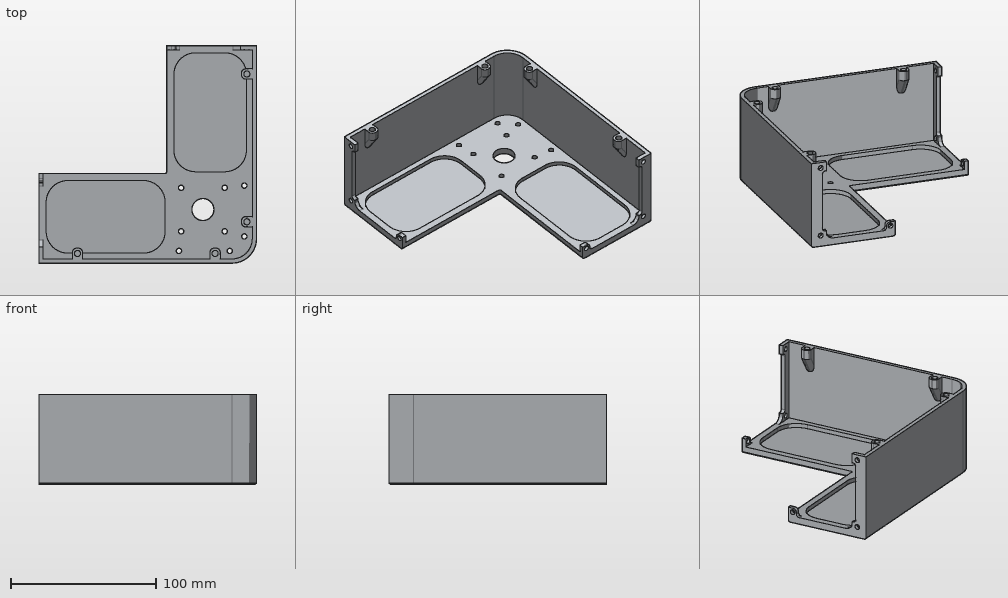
import cadquery as cq

side = 150.0
height = 62.0
arm_width = 62.0
wall = 3.0
floor = 5.0
outer_corner_radius = 17.0
inner_corner_radius = 1.0
bottom_chamfer = 1.0

pocket_margin = 5.0
pocket_length = 82.0
pocket_width = 50.0
pocket_inset = 32.0
pocket_radius = 15.0
pocket_depth = 3.0

screw_hole = 3.5
center_hole = 15.0
center_hole_inset = 37.0
mount_pitch = 30.0
edge_hole_inset = 8.5
edge_hole_near = 18.5
edge_hole_far = 53.5

boss_width = 7.2
boss_depth = 7.5
boss_corner_radius = 3.2
boss_hole = 4.2
boss_straight = 6.75
boss_taper = 12.0
bottom_wall_boss_x = (26.6, 121.4)
right_wall_boss_y = (28.6, 130.4)

flange_thickness = 3.0
flange_width = 8.3
tab_width = 11.2
tab_height = 6.0
tab_fillet = 2.0
foot_fillet = 5.0
tab_hole_inset = 7.0
tab_hole_rise = 3.0
tab_hole_z = floor + tab_hole_rise
top_tab_hole_drop = 4.0
lug_radius = 3.0
lug_hole_inset = 3.5
lug_foot_fillet = 2.25

arm_ends = (
    cq.Plane(origin=(0, 0, 0), xDir=(0, 1, 0), normal=(1, 0, 0)),
    cq.Plane(origin=(side, side - flange_thickness, 0), xDir=(-1, 0, 0), normal=(0, 1, 0)),
)


def make_body():
    """L-shaped floor and the two outer walls, joined by a rounded corner."""
    arm_inside_x = side - arm_width
    outline = [
        (0, 0),
        (side, 0),
        (side, side),
        (arm_inside_x, side),
        (arm_inside_x, arm_width),
        (0, arm_width),
    ]
    block = cq.Workplane().polyline(outline).close().extrude(height)
    block = block.edges("|Z and >X and <Y").fillet(outer_corner_radius)
    inner_corner = cq.selectors.NearestToPointSelector((arm_inside_x, arm_width, height / 2))
    block = block.edges("|Z").edges(inner_corner).fillet(inner_corner_radius)
    block = block.faces("<Z").edges("not(<X or >Y)").chamfer(bottom_chamfer)

    cavity = (
        cq.Workplane(origin=(-wall, wall, floor))
        .box(side, side, height, centered=False)
        .edges("|Z and >X and <Y")
        .fillet(outer_corner_radius - wall)
    )
    return block.cut(cavity)


def make_pocket(center, size):
    """Rounded recess cut down from the floor surface."""
    return (
        cq.Workplane(origin=(*center, floor - pocket_depth))
        .rect(*size)
        .extrude(pocket_depth)
        .edges("|Z")
        .fillet(pocket_radius)
    )


def make_floor_pockets():
    """One recess per arm, mirror images about the diagonal of the L."""
    along = pocket_margin + pocket_length / 2
    pocket_x_arm = make_pocket((along, pocket_inset), (pocket_length, pocket_width))
    pocket_y_arm = make_pocket((side - pocket_inset, side - along), (pocket_width, pocket_length))
    return pocket_x_arm.union(pocket_y_arm)


def make_floor_holes():
    """Central opening, its square of four screw holes, and two holes along each wall."""
    center = (side - center_hole_inset, center_hole_inset)
    opening = cq.Workplane().pushPoints([center]).circle(center_hole / 2).extrude(floor)
    mounts = (
        cq.Workplane(origin=(*center, 0))
        .rect(mount_pitch, mount_pitch, forConstruction=True)
        .vertices()
        .circle(screw_hole / 2)
        .extrude(floor)
    )
    edge_points = []
    for distance in (edge_hole_near, edge_hole_far):
        edge_points.append((side - distance, edge_hole_inset))
        edge_points.append((side - edge_hole_inset, distance))
    edge_holes = cq.Workplane().pushPoints(edge_points).circle(screw_hole / 2).extrude(floor)
    return opening.union(mounts).union(edge_holes)


def make_boss():
    """Boss on a wall whose inner face is y = 0, centred on x = 0, top at the rim.

    The section has two rounded front corners. It runs straight down, then
    slants back into the wall.
    """
    shelf = height - boss_straight
    half_width = boss_width / 2
    half_flat = half_width - boss_corner_radius
    shoulder = boss_depth - boss_corner_radius
    section = (
        cq.Workplane(origin=(0, 0, shelf))
        .moveTo(-half_width, 0)
        .lineTo(half_width, 0)
        .lineTo(half_width, shoulder)
        .radiusArc((half_flat, boss_depth), -boss_corner_radius)
        .lineTo(-half_flat, boss_depth)
        .radiusArc((-half_width, shoulder), -boss_corner_radius)
        .close()
    )
    profile = section.wires().val()
    straight = cq.Solid.extrudeLinear(profile, [], cq.Vector(0, 0, boss_straight))
    slanted = cq.Solid.extrudeLinear(profile, [], cq.Vector(0, -boss_depth, -boss_taper))
    room_side = cq.Workplane(origin=(0, boss_depth, 0)).box(
        2 * boss_width, 2 * boss_depth, 2 * height
    )
    hole = (
        cq.Workplane(origin=(0, boss_depth / 2, shelf))
        .circle(boss_hole / 2)
        .extrude(boss_straight)
    )
    return cq.Workplane(straight).union(cq.Workplane(slanted)).intersect(room_side).cut(hole)


def make_end_frame(plane):
    """Flange along the wall edge, widened into a screw tab at its top and its foot."""
    foot_top = floor + foot_fillet
    tab_top = floor + tab_height
    tab_underside = height - boss_straight
    fillet_end = flange_width + tab_fillet
    return (
        cq.Workplane(plane)
        .moveTo(wall, floor)
        .lineTo(tab_width + foot_fillet, floor)
        .radiusArc((tab_width, foot_top), foot_fillet)
        .lineTo(tab_width, tab_top)
        .lineTo(fillet_end, tab_top)
        .radiusArc((flange_width, tab_top + tab_fillet), tab_fillet)
        .lineTo(flange_width, tab_underside - tab_fillet)
        .radiusArc((fillet_end, tab_underside), tab_fillet)
        .lineTo(tab_width, tab_underside)
        .lineTo(tab_width, height)
        .lineTo(wall, height)
        .close()
        .extrude(flange_thickness)
    )


def make_lug(plane):
    """Small rounded screw lug standing at the inner edge of an arm end."""
    lug_center = arm_width - lug_hole_inset
    lug_side = lug_center - lug_radius
    return (
        cq.Workplane(plane)
        .moveTo(arm_width, floor)
        .lineTo(arm_width, tab_hole_z + lug_radius)
        .lineTo(lug_center, tab_hole_z + lug_radius)
        .radiusArc((lug_side, tab_hole_z), -lug_radius)
        .lineTo(lug_side, floor + lug_foot_fillet)
        .radiusArc((lug_side - lug_foot_fillet, floor), lug_foot_fillet)
        .close()
        .extrude(flange_thickness)
    )


def make_end_holes(plane):
    """The three screw holes through an arm end."""
    points = [
        (tab_hole_inset, tab_hole_z),
        (tab_hole_inset, height - top_tab_hole_drop),
        (arm_width - lug_hole_inset, tab_hole_z),
    ]
    return cq.Workplane(plane).pushPoints(points).circle(screw_hole / 2).extrude(flange_thickness)


result = make_body().cut(make_floor_pockets()).cut(make_floor_holes())

boss = make_boss()
for x in bottom_wall_boss_x:
    result = result.union(boss.translate((x, wall, 0)))
right_wall_boss = boss.rotate((0, 0, 0), (0, 0, 1), 90)
for y in right_wall_boss_y:
    result = result.union(right_wall_boss.translate((side - wall, y, 0)))

for plane in arm_ends:
    result = result.union(make_end_frame(plane)).union(make_lug(plane)).cut(make_end_holes(plane))